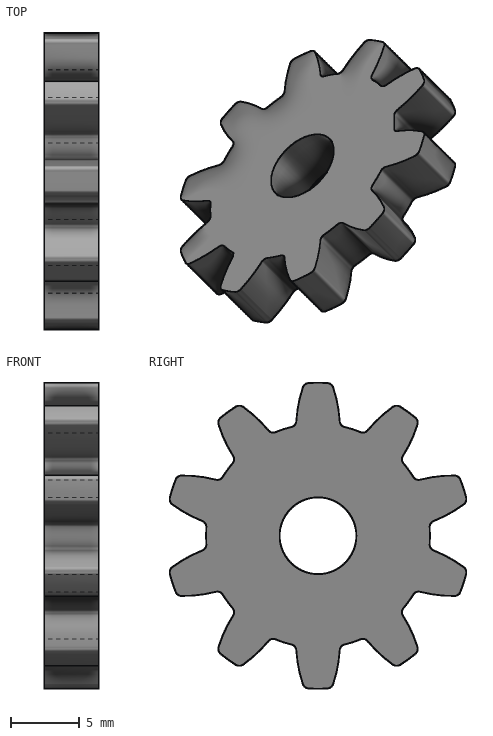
import cadquery as cq
import math

tooth_count = 10
thickness = 4.0
tip_radius = 11.25
root_radius = 8.24
bore_diameter = 5.62

tip_half_width = 1.01
middle_half_width = 1.37
root_half_width = 1.62
middle_height = 10.01

tip_rounding = 0.5
root_rounding = 0.45


def height_on_circle(radius, half_width):
    """Height above the axis of a circle point at the given sideways offset."""
    return math.sqrt(radius**2 - half_width**2)


def make_tooth():
    """One upright tooth with convex flanks, a round tip and a base inside the root disc."""
    tip_height = height_on_circle(tip_radius, tip_half_width)
    root_height = height_on_circle(root_radius, root_half_width)
    tooth = (
        cq.Workplane("YZ")
        .moveTo(-root_half_width, root_height)
        .threePointArc((-middle_half_width, middle_height), (-tip_half_width, tip_height))
        .threePointArc((0, tip_radius), (tip_half_width, tip_height))
        .threePointArc((middle_half_width, middle_height), (root_half_width, root_height))
        .lineTo(0, 0)
        .close()
        .extrude(thickness)
    )
    tip_corners = cq.selectors.BoxSelector(
        (0, -root_half_width, middle_height), (thickness, root_half_width, tip_radius)
    )
    return tooth.edges("|X").edges(tip_corners).fillet(tip_rounding)


def make_gear_blank():
    """Root disc with equally spaced teeth, the first one pointing along Z."""
    blank = cq.Workplane("YZ").circle(root_radius).extrude(thickness)
    tooth = make_tooth()
    for index in range(tooth_count):
        angle = index * 360 / tooth_count
        blank = blank.union(tooth.rotate((0, 0, 0), (1, 0, 0), angle))
    return blank


def round_roots(blank):
    """Fillet the corners where the flanks meet the root circle."""
    root_corners = []
    half_angle = math.degrees(math.asin(root_half_width / root_radius))
    for index in range(tooth_count):
        for side in (-1, 1):
            angle = math.radians(index * 360 / tooth_count + side * half_angle)
            point = (thickness / 2, root_radius * math.sin(angle), root_radius * math.cos(angle))
            root_corners.append(cq.selectors.NearestToPointSelector(point))
    lengthwise = blank.edges("|X")
    edges = [lengthwise.edges(corner).val() for corner in root_corners]
    return blank.newObject(edges).fillet(root_rounding)


gear = round_roots(make_gear_blank())
bore = cq.Workplane("YZ").circle(bore_diameter / 2).extrude(thickness)
result = gear.cut(bore).translate((-thickness / 2, 0, 0))